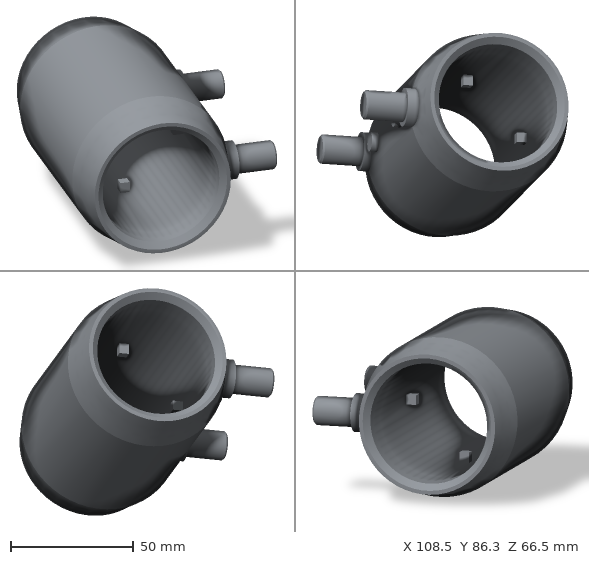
import cadquery as cq

length = 108.5
outer_radius = 66.5 / 2
bore_radius = 50.0 / 2
taper_length = length / 6
end_radius = 29.2
bore_mouth_radius = 27.6
bore_mouth_depth = 2.5

stud_x = length / 2 - taper_length
stud_radius = 12.0 / 2
stud_tip_y = 86.3 - outer_radius
stud_chamfer = 0.8
collar_radius = 16.0 / 2
collar_top_y = 36.0

button_x = 20.0
button_radius = 8.0 / 2

tab_count = 4
tab_width = 4.0
tab_inner_radius = 20.6

root_radius = (bore_radius + end_radius) / 2


def sleeve():
    half = length / 2
    profile = [
        (-half, bore_mouth_radius),
        (-half, end_radius),
        (-half + taper_length, outer_radius),
        (half - taper_length, outer_radius),
        (half, end_radius),
        (half, bore_mouth_radius),
        (half - bore_mouth_depth, bore_radius),
        (-half + bore_mouth_depth, bore_radius),
    ]
    return cq.Workplane("XY").polyline(profile).close().revolve(360, (0, 0, 0), (1, 0, 0))


def post(x, radius, top_y):
    """Round post pointing along +Y from inside the wall up to top_y."""
    base = cq.Workplane("XZ", origin=(x, root_radius, 0))
    return base.circle(radius).extrude(root_radius - top_y)


def stop_tab(angle):
    height = root_radius - tab_inner_radius
    tab = cq.Workplane("XY").box(tab_width, tab_width, height)
    tab = tab.translate((0, 0, tab_inner_radius + height / 2))
    return tab.rotate((0, 0, 0), (1, 0, 0), angle)


result = sleeve()
for side in (-1, 1):
    stud = post(side * stud_x, stud_radius, stud_tip_y).faces(">Y").chamfer(stud_chamfer)
    result = result.union(stud)
    result = result.union(post(side * stud_x, collar_radius, collar_top_y))
    result = result.union(post(side * button_x, button_radius, collar_top_y))

for i in range(tab_count):
    result = result.union(stop_tab(i * 360 / tab_count))